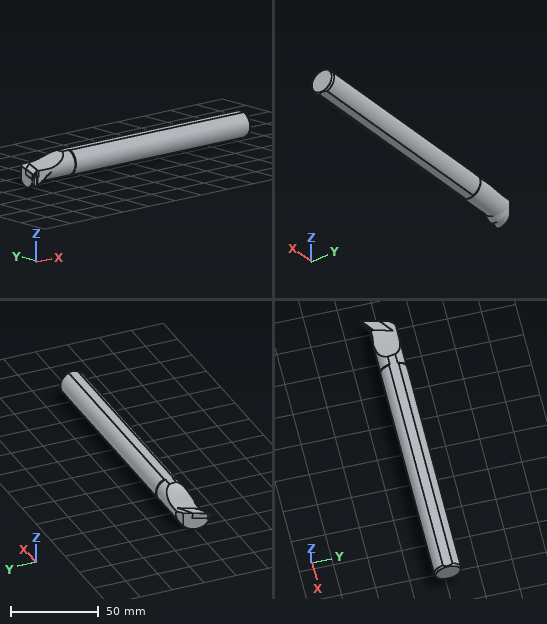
import cadquery as cq
import math

LENGTH = 170.0

SHANK_RADIUS = 8.0
NECK_RADIUS = 7.8
NECK_END_X = 34.8
STEP_LENGTH = 0.5
FLAT_HEIGHT = 7.5
END_CHAMFER = 1.4

HEAD_RADIUS = 9.2
HEAD_CENTRE_Y = -1.5
HEAD_END_X = 8.2
BLEND_END_X = 15.3
BLEND_END_RADIUS = 7.0

RAKE_HEIGHT = 1.4
RAKE_ANGLE = math.radians(6)

SCOOP_CENTRE_X = 0.8
SCOOP_FLOOR_RADIUS = 13.6
SCOOP_ARC_RADIUS = 21.8
SCOOP_ARC_SWEEP = math.radians(60)

TIP_Y = -11.0
SIDE_Y = -7.0
SIDE_START_X = 6.8
SIDE_END_X = 11.2
RELIEF_RADIUS = 18.7
RELIEF_ARC_SWEEP = math.radians(40)
SEAT_TIP = (0.5, -9.2)
SEAT_BEND = (4.6, -6.5)
SEAT_CORNER = (SIDE_START_X, -6.0)
NOSE_CORNER = (4.6, 4.8)
NOSE_LOWER = (4.2, 3.7)
NOSE_CHAMFER_TOP = (10.9, 10.5)

INSERT_THICKNESS = 3.4
INSERT_RELIEF = 7
INSERT_OUTLINE = [(3.2, -0.7), (11.2, 5.1), (7.8, -5.5), (0, TIP_Y)]
POCKET_START_X = 6.0
POCKET_WALL_X = 7.6

CLEARANCE = 34.0

rake_plane = cq.Plane(
    origin=(0, 0, RAKE_HEIGHT),
    xDir=(1, 0, 0),
    normal=(0, -math.sin(RAKE_ANGLE), math.cos(RAKE_ANGLE)),
)


def on_rake_plane(points):
    """Turn plan positions into local positions on the tilted rake plane."""
    return [(x, y / math.cos(RAKE_ANGLE)) for x, y in points]


def make_insert():
    outline = cq.Workplane(rake_plane).polyline(on_rake_plane(INSERT_OUTLINE)).close()
    return outline.extrude(-INSERT_THICKNESS, taper=INSERT_RELIEF)


def make_bar():
    """Neck, step and chamfered shank, with two parallel flats."""
    profile = [
        (0, 0),
        (0, NECK_RADIUS),
        (NECK_END_X, NECK_RADIUS),
        (NECK_END_X + STEP_LENGTH, SHANK_RADIUS),
        (LENGTH - END_CHAMFER, SHANK_RADIUS),
        (LENGTH, SHANK_RADIUS - END_CHAMFER / 2),
        (LENGTH, 0),
    ]
    bar = cq.Workplane("XY").polyline(profile).close().revolve(360, (0, 0), (1, 0))
    shank_length = LENGTH - NECK_END_X
    lower_flat = (
        cq.Workplane("XY")
        .box(shank_length, CLEARANCE, CLEARANCE, centered=(False, True, False))
        .translate((NECK_END_X, 0, -FLAT_HEIGHT - CLEARANCE))
    )
    upper_flat = (
        cq.Workplane("XY")
        .box(LENGTH, CLEARANCE, CLEARANCE, centered=(False, True, False))
        .translate((0, 0, FLAT_HEIGHT))
    )
    return bar.cut(lower_flat).cut(upper_flat)


def make_head():
    """Offset cylinder that blends into the neck, kept below the rake plane."""
    cylinder = cq.Workplane("YZ").center(HEAD_CENTRE_Y, 0).circle(HEAD_RADIUS).extrude(HEAD_END_X)
    blend = (
        cq.Workplane("YZ", origin=(HEAD_END_X, 0, 0))
        .center(HEAD_CENTRE_Y, 0)
        .circle(HEAD_RADIUS)
        .workplane(offset=BLEND_END_X - HEAD_END_X)
        .center(-HEAD_CENTRE_Y, 0)
        .circle(BLEND_END_RADIUS)
        .loft()
    )
    above_rake = cq.Workplane(rake_plane).rect(2 * CLEARANCE, 2 * CLEARANCE).extrude(CLEARANCE)
    return cylinder.union(blend).cut(above_rake)


def make_scoop():
    """Flat round floor with a flared wall, turned about the rake normal."""
    def wall_point(angle):
        return (
            SCOOP_FLOOR_RADIUS + SCOOP_ARC_RADIUS * math.sin(angle),
            SCOOP_ARC_RADIUS * (1 - math.cos(angle)),
        )

    rim = wall_point(SCOOP_ARC_SWEEP)
    scoop = (
        cq.Workplane("XZ")
        .lineTo(SCOOP_FLOOR_RADIUS, 0)
        .threePointArc(wall_point(SCOOP_ARC_SWEEP / 2), rim)
        .lineTo(0, rim[1])
        .close()
        .revolve(360, (0, 0), (0, 1))
    )
    tilted = scoop.rotate((0, 0, 0), (1, 0, 0), math.degrees(RAKE_ANGLE))
    return tilted.translate((SCOOP_CENTRE_X, 0, RAKE_HEIGHT))


def make_head_outline():
    """Upright prism holding everything that remains after trimming in plan."""
    def relief_point(angle):
        return (
            SIDE_END_X + RELIEF_RADIUS * math.sin(angle),
            SIDE_Y - RELIEF_RADIUS * (1 - math.cos(angle)),
        )

    relief_end = relief_point(RELIEF_ARC_SWEEP)
    return (
        cq.Workplane("XY", origin=(0, 0, -CLEARANCE))
        .moveTo(*SEAT_TIP)
        .lineTo(*SEAT_BEND)
        .lineTo(*SEAT_CORNER)
        .lineTo(SIDE_START_X, SIDE_Y)
        .lineTo(SIDE_END_X, SIDE_Y)
        .threePointArc(relief_point(RELIEF_ARC_SWEEP / 2), relief_end)
        .lineTo(LENGTH + CLEARANCE, relief_end[1])
        .lineTo(LENGTH + CLEARANCE, NOSE_CHAMFER_TOP[1])
        .lineTo(*NOSE_CHAMFER_TOP)
        .lineTo(*NOSE_CORNER)
        .lineTo(*NOSE_LOWER)
        .close()
        .extrude(2 * CLEARANCE)
    )


def make_pocket_opening():
    """Opens the insert pocket on its outer side, up to the pocket wall."""
    corner_y = INSERT_OUTLINE[2][1]
    corners = [
        (POCKET_START_X, corner_y),
        (POCKET_WALL_X, corner_y),
        (POCKET_WALL_X, -CLEARANCE),
        (POCKET_START_X, -CLEARANCE),
    ]
    return cq.Workplane(rake_plane).polyline(on_rake_plane(corners)).close().extrude(-INSERT_THICKNESS)


insert = make_insert()
holder = make_bar().union(make_head()).cut(make_scoop()).intersect(make_head_outline())
holder = holder.cut(make_pocket_opening()).cut(insert)

result = cq.Compound.makeCompound([*holder.solids().vals(), insert.val()])